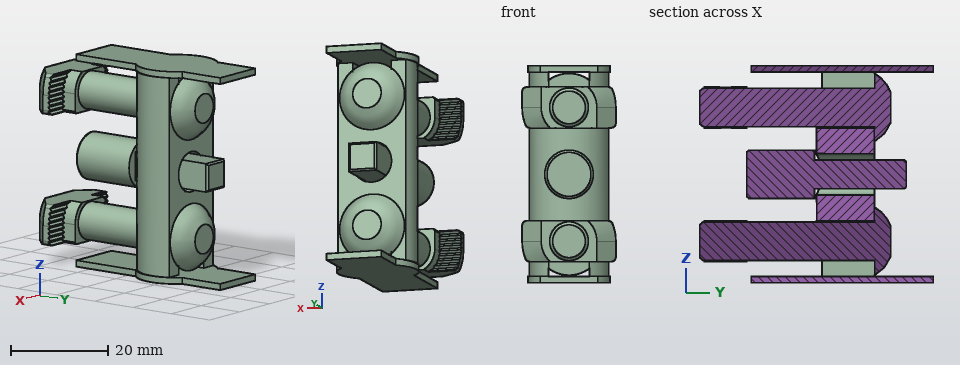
import cadquery as cq
import math


post_radius = 8.25
post_height = 42.1
back_flat_y = 3.75
slot_width = 8.4
pin_hole_diameter = 8.5
bolt_offset_z = 13.8

plate_thickness = 1.35
plate_width = 11.85
plate_back_y = 15.9
plate_front_y = -21.65
plate_disc_radius = 8.5

front_end_y = -32.3
shank_radius = 4.0
shank_chamfer_length = 0.7
shank_chamfer_depth = 0.65
head_radius = 7.05
head_height = 3.35
head_top_radius = 3.1
head_mid_radius = 5.6
head_mid_height = 1.85

pin_square = 6.0
pin_back_y = 10.3
pin_head_radius = 5.0
pin_head_back_y = -8.6
pin_head_front_y = -22.6
pin_shank_chamfer = 0.4
pin_head_chamfer = 0.5

nut_half_height = 4.25
nut_back_y = -22.6
nut_front_y = -31.35
flange_half_width = 9.7
flange_taper = 3.95
flange_corner_radius = 1.0
stem_half_width = 5.0
stem_corner_radius = 6.25
tooth_pitch = 1.0
tooth_tip_y = -25.5
tooth_depth = tooth_pitch / 2


def cylinder_y(radius, y_front, y_back):
    """Cylinder on the Y axis."""
    return cq.Workplane("XZ", origin=(0, y_back, 0)).circle(radius).extrude(y_back - y_front)


def box_y(width, height, y_front, y_back):
    """Box centred on the Y axis."""
    return cq.Workplane("XZ", origin=(0, y_back, 0)).rect(width, height).extrude(y_back - y_front)


def make_post():
    post = cq.Workplane("XY").circle(post_radius).extrude(post_height / 2, both=True)

    behind_flat = box_y(2 * post_radius, post_height, back_flat_y, post_radius)
    post = post.cut(behind_flat)

    post = post.cut(cylinder_y(pin_hole_diameter / 2, -post_radius, post_radius))

    slot_length = post_height / 2 - bolt_offset_z
    for side in (1, -1):
        round_end = cylinder_y(slot_width / 2, -post_radius, post_radius)
        round_end = round_end.translate((0, 0, side * bolt_offset_z))
        open_end = box_y(slot_width, slot_length, -post_radius, post_radius)
        open_end = open_end.translate((0, 0, side * (bolt_offset_z + slot_length / 2)))
        post = post.cut(round_end).cut(open_end)
    return post


def make_plate(bottom_z):
    """Flat strip with a disc over the post."""
    plane = cq.Workplane("XY", origin=(0, 0, bottom_z))
    disc = plane.circle(plate_disc_radius).extrude(plate_thickness)
    strip = (
        plane.center(0, (plate_back_y + plate_front_y) / 2)
        .rect(plate_width, plate_back_y - plate_front_y)
        .extrude(plate_thickness)
    )
    return disc.union(strip)


def make_bolt(axis_z):
    """Half section in XY turned around the Y axis."""
    return (
        cq.Workplane("XY")
        .moveTo(0, front_end_y)
        .lineTo(shank_radius - shank_chamfer_depth, front_end_y)
        .lineTo(shank_radius, front_end_y + shank_chamfer_length)
        .lineTo(shank_radius, back_flat_y)
        .lineTo(head_radius, back_flat_y)
        .threePointArc(
            (head_mid_radius, back_flat_y + head_mid_height),
            (head_top_radius, back_flat_y + head_height),
        )
        .lineTo(0, back_flat_y + head_height)
        .close()
        .revolve(360, (0, 0, 0), (0, 1, 0))
        .translate((0, 0, axis_z))
    )


def make_pin():
    shank = box_y(pin_square, pin_square, pin_head_back_y, pin_back_y)
    shank = shank.faces(">Y").chamfer(pin_shank_chamfer)
    head = cylinder_y(pin_head_radius, pin_head_front_y, pin_head_back_y)
    head = head.faces("<Y").chamfer(pin_head_chamfer)
    return shank.union(head)


def nut_prism(half_width, y_front, y_back):
    """Rectangle along Y with two opposite corners rounded about the Y axis so that the nut can turn."""
    arc_start_x = math.sqrt(half_width**2 - nut_half_height**2)
    arc_mid_angle = math.asin(nut_half_height / half_width) / 2
    arc_mid_x = half_width * math.cos(arc_mid_angle)
    arc_mid_z = half_width * math.sin(arc_mid_angle)
    return (
        cq.Workplane("XZ", origin=(0, y_back, 0))
        .moveTo(-half_width, nut_half_height)
        .lineTo(arc_start_x, nut_half_height)
        .threePointArc((arc_mid_x, arc_mid_z), (half_width, 0))
        .lineTo(half_width, -nut_half_height)
        .lineTo(-arc_start_x, -nut_half_height)
        .threePointArc((-arc_mid_x, -arc_mid_z), (-half_width, 0))
        .close()
        .extrude(y_back - y_front)
    )


def flange_half_section():
    return (
        cq.Workplane("XY")
        .moveTo(0, nut_front_y)
        .lineTo(flange_half_width - flange_taper, nut_front_y)
        .lineTo(flange_half_width, nut_front_y + flange_taper)
        .lineTo(flange_half_width, tooth_tip_y)
        .lineTo(0, tooth_tip_y)
        .close()
    )


def make_taper():
    """Envelope of the flange: conical around the rounded corners, flat at the square corners."""
    cone = flange_half_section().revolve(360, (0, 0, 0), (0, 1, 0))
    square_corner = flange_half_section().extrude(-nut_half_height)
    opposite_corner = square_corner.rotate((0, 0, 0), (0, 1, 0), 180)
    return cone.union(square_corner).union(opposite_corner)


def make_tooth_grooves():
    """V grooves along X that leave tooth tips at every whole pitch from the nut axis."""
    groove_count = 2 * math.ceil(nut_half_height / tooth_pitch)
    first_tip_z = -tooth_pitch * groove_count / 2
    points = [(tooth_tip_y, first_tip_z)]
    for i in range(groove_count):
        tip_z = first_tip_z + i * tooth_pitch
        points.append((tooth_tip_y - tooth_depth, tip_z + tooth_pitch / 2))
        points.append((tooth_tip_y, tip_z + tooth_pitch))
    points.append((nut_back_y, -first_tip_z))
    points.append((nut_back_y, first_tip_z))
    return cq.Workplane("YZ").polyline(points).close().extrude(flange_half_width, both=True)


def make_nut(axis_z):
    flange = nut_prism(flange_half_width, nut_front_y, tooth_tip_y)
    flange = flange.edges("|Y").edges(">Z or <Z").fillet(flange_corner_radius)
    flange = flange.intersect(make_taper()).cut(make_tooth_grooves())

    stem = nut_prism(stem_half_width, nut_front_y, nut_back_y)
    stem = stem.intersect(cylinder_y(stem_corner_radius, nut_front_y, nut_back_y))

    bolt_hole = cylinder_y(shank_radius, nut_front_y, nut_back_y)
    return flange.union(stem).cut(bolt_hole).translate((0, 0, axis_z))


bolt_axes_z = (bolt_offset_z, -bolt_offset_z)
plate_bottoms_z = (post_height / 2, -post_height / 2 - plate_thickness)

post = make_post()
pin = make_pin()
plates = [make_plate(z) for z in plate_bottoms_z]
bolts = [make_bolt(z) for z in bolt_axes_z]
nuts = [make_nut(z) for z in bolt_axes_z]

result = cq.Compound.makeCompound(
    [body.val() for body in [post, pin, *plates, *bolts, *nuts]]
)